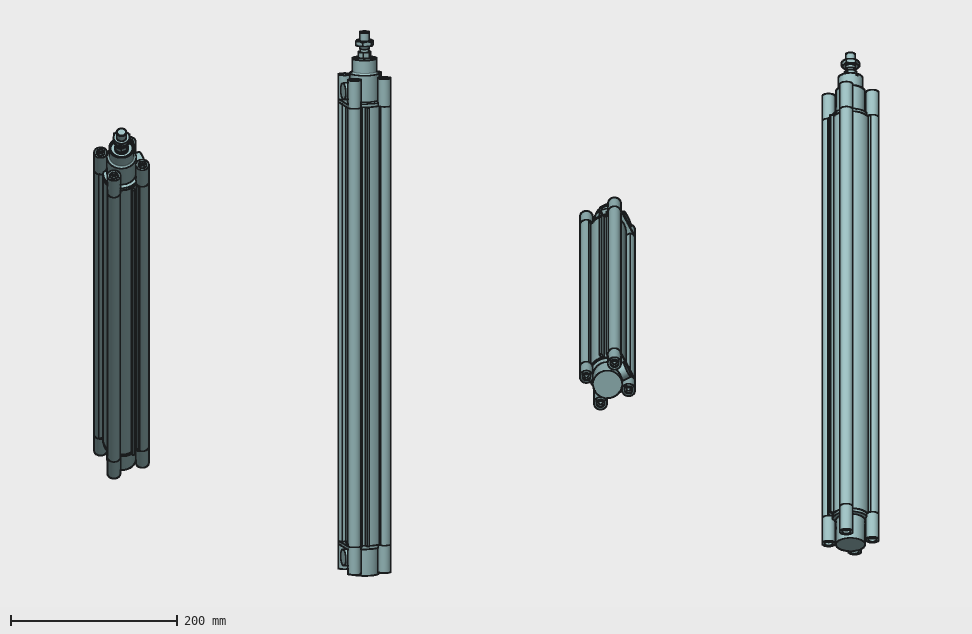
import cadquery as cq
import math


overall_length = 664.0

post_diameter = 16.0
post_spacing = 38.0
screw_recess_diameter = 10.0
screw_recess_depth = 4.0
screw_hole_diameter = 5.0
screw_hole_depth = 16.0

cap_height = 34.0
front_cap_below_tip = 54.5
flange_diameter = 44.0
flange_thickness = 4.0
flange_slope_height = 1.0
collar_diameter = 35.0
collar_height = 4.0
port_boss_diameter = 20.0

neck_diameter = 30.0
neck_height = 18.0
neck_recess_diameter = 26.5
neck_recess_depth = 2.0

barrel_core_diameter = 45.0
corner_inner = 12.95
groove_top = 10.5
groove_floor = 19.0
rail_top = 5.0
rail_bottom = 2.5

rod_diameter = 16.0
shank_diameter = 15.0
shank_flats = 13.0
shank_length = 6.5
thread_diameter = 12.0
thread_length = 24.5
undercut_diameter = 10.5
undercut_length = 4.0
tip_chamfer = 0.5

nut_flats = 19.0
nut_height = 6.0
nut_bevel = 1.0
nut_below_tip = 10.5

post_offset = post_spacing / 2
post_radius = post_diameter / 2
half_width = post_offset + post_radius
corner_reach = post_offset + math.sqrt(post_radius**2 - (post_offset - corner_inner) ** 2)

collar_top = cap_height + collar_height
barrel_bottom = collar_top
front_cap_top = overall_length - front_cap_below_tip
barrel_top = front_cap_top - cap_height
barrel_length = barrel_top - barrel_bottom

neck_top = front_cap_top + collar_height + neck_height
thread_start = overall_length - thread_length
shank_bottom = thread_start - shank_length
nut_bottom = overall_length - nut_below_tip - nut_height


def plane_at(z):
    return cq.Workplane("XY").workplane(offset=z)


def cylinder(diameter, bottom, height):
    return plane_at(bottom).circle(diameter / 2).extrude(height)


def revolve_about_z(profile):
    return profile.close().revolve(360, (0, 0, 0), (0, 1, 0))


def post_circles(z, diameter):
    """Circles on the four post axes at height z."""
    corners = plane_at(z).rect(post_spacing, post_spacing, forConstruction=True).vertices()
    return corners.circle(diameter / 2)


def make_flange():
    """Round flange on Z = 0 whose top slopes up to the collar."""
    slope_top = flange_thickness + flange_slope_height
    profile = (
        cq.Workplane("XZ")
        .lineTo(flange_diameter / 2, 0)
        .lineTo(flange_diameter / 2, flange_thickness)
        .lineTo(collar_diameter / 2, slope_top)
        .lineTo(0, slope_top)
    )
    return revolve_about_z(profile)


def make_port_side():
    """Pad between the two +Y posts, and the round port boss above it."""
    pad = plane_at(0).center(0, half_width / 2).rect(post_spacing, half_width).extrude(flange_thickness)
    boss = cq.Workplane("XZ").center(0, cap_height / 2).circle(port_boss_diameter / 2).extrude(-half_width)
    return pad.union(boss)


def make_cap():
    """Plain cap with its flange on Z = 0 and its collar at the top."""
    cap = cylinder(collar_diameter, 0, collar_top).union(make_flange())
    cap = cap.union(post_circles(0, post_diameter).extrude(cap_height))
    cap = cap.union(make_port_side())
    cap = cap.cut(post_circles(cap_height, screw_recess_diameter).extrude(-screw_recess_depth))
    return cap.cut(post_circles(cap_height, screw_hole_diameter).extrude(-screw_hole_depth))


def make_neck():
    """Neck above the collar, with a fillet at its foot that takes up the whole ledge."""
    collar_radius = collar_diameter / 2
    neck_radius = neck_diameter / 2
    fillet = collar_radius - neck_radius
    arc_middle = fillet * (1 - math.sqrt(0.5))
    foot = front_cap_top + collar_height
    profile = (
        cq.Workplane("XZ")
        .moveTo(0, foot)
        .lineTo(collar_radius, foot)
        .threePointArc((neck_radius + arc_middle, foot + arc_middle), (neck_radius, foot + fillet))
        .lineTo(neck_radius, neck_top)
        .lineTo(0, neck_top)
    )
    return revolve_about_z(profile)


def make_front_cap():
    cap = make_cap().translate((0, 0, barrel_top)).union(make_neck())
    cap = cap.cut(cylinder(neck_recess_diameter, neck_top - neck_recess_depth, neck_recess_depth))
    return cap.cut(cylinder(rod_diameter, barrel_top, neck_top - barrel_top))


def make_rear_cap():
    return make_cap().mirror("XY").translate((0, 0, barrel_bottom))


def make_corner():
    """Corner of the barrel: a round bead in line with the posts, with straight walls to the core."""
    bead_tip = post_offset + post_radius * math.sqrt(0.5)
    return (
        plane_at(barrel_bottom)
        .moveTo(corner_inner, corner_inner)
        .lineTo(corner_reach, corner_inner)
        .threePointArc((bead_tip, bead_tip), (corner_inner, corner_reach))
        .close()
        .extrude(barrel_length)
    )


def side_bar(x_side, x_inner, x_outer, y_low, y_high):
    """Full-length rectangular bar on the -X or +X side of the barrel."""
    center_x = x_side * (x_inner + x_outer) / 2
    center_y = (y_low + y_high) / 2
    return (
        plane_at(barrel_bottom)
        .center(center_x, center_y)
        .rect(x_outer - x_inner, y_high - y_low)
        .extrude(barrel_length)
    )


def make_barrel():
    barrel = cylinder(barrel_core_diameter, barrel_bottom, barrel_length)
    for angle in (0, 90, 180, 270):
        barrel = barrel.union(make_corner().rotate((0, 0, 0), (0, 0, 1), angle))
    for x_side in (-1, 1):
        lip = side_bar(x_side, 0, corner_reach, groove_top, corner_inner)
        rail = side_bar(x_side, 0, half_width, rail_bottom, rail_top)
        groove = side_bar(x_side, groove_floor, half_width, rail_top, groove_top)
        barrel = barrel.union(lip).union(rail).cut(groove)
    return barrel


def make_rod():
    rod = cylinder(rod_diameter, barrel_top, shank_bottom - barrel_top)
    flats = plane_at(shank_bottom).rect(shank_flats, shank_diameter).extrude(shank_length)
    shank = cylinder(shank_diameter, shank_bottom, shank_length).intersect(flats)
    undercut = cylinder(undercut_diameter, thread_start, undercut_length)
    thread = cylinder(thread_diameter, thread_start + undercut_length, thread_length - undercut_length)
    thread = thread.faces(">Z").chamfer(tip_chamfer)
    return rod.union(shank).union(undercut).union(thread)


def make_nut():
    """Hexagon nut with two flats facing -X and +X and bevelled corners."""
    across_corners = nut_flats / math.cos(math.pi / 6)
    hexagon = plane_at(nut_bottom).polygon(6, across_corners).extrude(nut_height)
    hexagon = hexagon.rotate((0, 0, 0), (0, 0, 1), 90)
    bevel_width = (across_corners - nut_flats) / 2
    envelope = cylinder(across_corners, nut_bottom, nut_height)
    envelope = envelope.faces("<Z or >Z").edges().chamfer(nut_bevel, bevel_width)
    return hexagon.intersect(envelope).cut(cylinder(thread_diameter, nut_bottom, nut_height))


barrel = make_barrel()
front_cap = make_front_cap()
rear_cap = make_rear_cap()
piston_rod = make_rod()
rod_nut = make_nut()

result = cq.Compound.makeCompound([
    barrel.val(),
    front_cap.val(),
    rear_cap.val(),
    piston_rod.val(),
    rod_nut.val(),
])